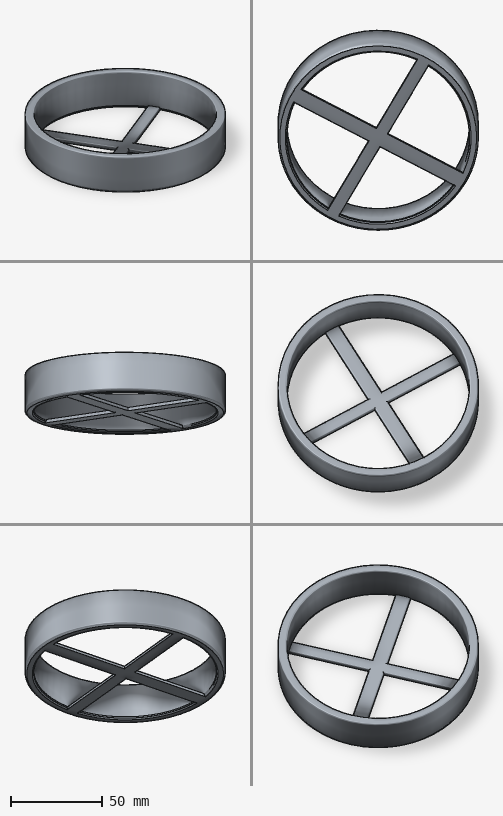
import cadquery as cq

outer_diameter = 110.0
inner_diameter = 100.0
height = 22.0
rim_fillet = 1.0
foot_chamfer = 1.0
foot_fillet = 1.0

x_bar_width = 8.5
y_bar_width = 7.0
bar_thickness = 2.0
bar_fillet = 0.7


def make_ring():
    """Tube with a rounded rim and a bevelled foot; each bevel blends smoothly into its wall."""
    ring = cq.Workplane("XY").circle(outer_diameter / 2).circle(inner_diameter / 2).extrude(height)
    ring = ring.faces("<Z").edges().chamfer(foot_chamfer)
    bevel_top_edges = cq.selectors.BoxSelector(
        (-outer_diameter, -outer_diameter, foot_chamfer / 2),
        (outer_diameter, outer_diameter, foot_chamfer * 3 / 2),
    )
    ring = ring.edges("%CIRCLE").edges(bevel_top_edges).fillet(foot_fillet)
    return ring.faces(">Z").edges().fillet(rim_fillet)


def make_bar(length_x, length_y):
    """Flat bar centred on the ring axis, standing on the base plane."""
    return cq.Workplane("XY").box(length_x, length_y, bar_thickness, centered=(True, True, False))


def make_cross():
    """Two crossing bars with rounded upper edges, ending inside the ring wall."""
    bar_length = (inner_diameter + outer_diameter) / 2
    cross = make_bar(bar_length, x_bar_width).union(make_bar(y_bar_width, bar_length))
    cross = cross.faces(">Z").edges().fillet(bar_fillet)
    end_trim = cq.Workplane("XY").circle(inner_diameter / 2 + foot_chamfer).extrude(height)
    return cross.intersect(end_trim)


result = make_ring().union(make_cross())